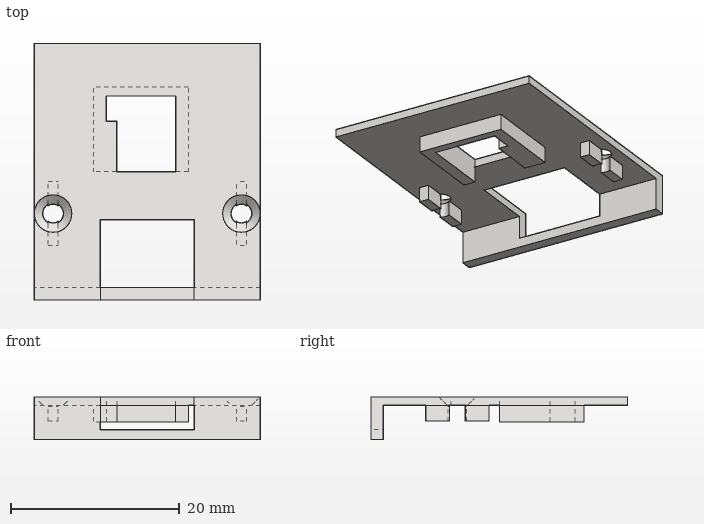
import cadquery as cq

width = 26.83
length = 30.42
height = 5.08
plate_thickness = 1.0
flange_thickness = 1.5
plate_bottom = height - plate_thickness

opening_width = 11.13
opening_back = 9.5
sill_height = 1.2

window_left = -3.6
window_right = 3.38
window_front = 15.2
window_back = 24.18
notch_left = -4.85
notch_front = 21.2
frame_side_wall = 1.52
frame_back_wall = 1.1
frame_depth = 2.0

hole_x = 11.15
hole_y = 10.25
hole_radius = 1.1
countersink_radius = 2.22
post_width = 1.22
posts_span = 7.55
post_depth = 1.9


def block(x_min, x_max, y_min, y_max, z_min, z_max):
    """Axis-aligned block between opposite corners."""
    size = (x_max - x_min, y_max - y_min, z_max - z_min)
    return cq.Workplane("XY").box(*size, centered=False).translate((x_min, y_min, z_min))


def make_plate():
    plate = block(-width / 2, width / 2, 0, length, plate_bottom, height)
    flange = block(-width / 2, width / 2, 0, flange_thickness, 0, height)
    return plate.union(flange)


def make_frame():
    """Solid pad under the window; the window cut leaves three walls, open at the front."""
    return block(
        notch_left - frame_side_wall,
        window_right + frame_side_wall,
        window_front,
        window_back + frame_back_wall,
        plate_bottom - frame_depth,
        plate_bottom,
    )


def make_window():
    bottom = plate_bottom - frame_depth
    main = block(window_left, window_right, window_front, window_back, bottom, height)
    notch = block(notch_left, window_right, notch_front, window_back, bottom, height)
    return main.union(notch)


def make_posts(x):
    """Bar across the screw hole; the hole splits it into two posts."""
    return block(
        x - post_width / 2,
        x + post_width / 2,
        hole_y - posts_span / 2,
        hole_y + posts_span / 2,
        plate_bottom - post_depth,
        plate_bottom,
    )


def make_screw_hole(x):
    """Through hole with a 90 degree countersink from the top face."""
    countersink_depth = countersink_radius - hole_radius
    profile = [
        (0, 0),
        (hole_radius, 0),
        (hole_radius, height - countersink_depth),
        (countersink_radius, height),
        (0, height),
    ]
    hole = cq.Workplane("XZ").polyline(profile).close().revolve(360, (0, 0, 0), (0, 1, 0))
    return hole.translate((x, hole_y, 0))


result = make_plate().union(make_frame()).cut(make_window())
result = result.cut(block(-opening_width / 2, opening_width / 2, 0, opening_back, sill_height, height))

for x in (-hole_x, hole_x):
    result = result.union(make_posts(x)).cut(make_screw_hole(x))